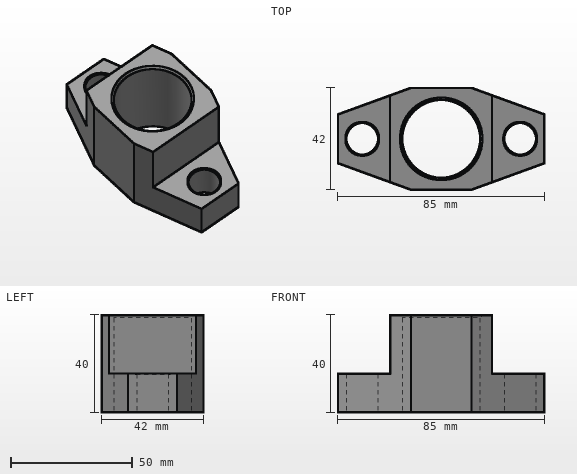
import cadquery as cq
import math

length = 85.0
width = 42.0
side_flat_length = 25.0
taper_angle = 20.0
flange_height = 16.0

block_length = 42.0
total_height = 40.0

bore_diameter = 32.0
bore_chamfer = 1.0

mount_hole_diameter = 13.0
mount_hole_spacing = 65.0
mount_hole_chamfer = 0.5


def tapered_body():
    """Full-height prism with the octagonal outline."""
    half_length = length / 2
    half_width = width / 2
    half_side_flat = side_flat_length / 2
    taper_run = half_length - half_side_flat
    half_end_flat = half_width - taper_run * math.tan(math.radians(taper_angle))
    outline = [
        (half_length, -half_end_flat),
        (half_length, half_end_flat),
        (half_side_flat, half_width),
        (-half_side_flat, half_width),
        (-half_length, half_end_flat),
        (-half_length, -half_end_flat),
        (-half_side_flat, -half_width),
        (half_side_flat, -half_width),
    ]
    return cq.Workplane("XY").polyline(outline).close().extrude(total_height)


def stepped_envelope():
    """Low slab for the flange joined with the tall central block."""
    slab = cq.Workplane("XY").box(length, width, flange_height, centered=(True, True, False))
    block = cq.Workplane("XY").box(block_length, width, total_height, centered=(True, True, False))
    return slab.union(block)


def chamfered_hole(x, diameter, top, chamfer):
    """Cutter for a vertical through hole with a 45 degree chamfer at its top edge."""
    radius = diameter / 2
    profile = [
        (0, 0),
        (radius, 0),
        (radius, top - chamfer),
        (radius + chamfer, top),
        (0, top),
    ]
    cutter = cq.Workplane("XZ").polyline(profile).close().revolve(360, (0, 0, 0), (0, 1, 0))
    return cutter.translate((x, 0, 0))


result = tapered_body().intersect(stepped_envelope())
result = result.cut(chamfered_hole(0, bore_diameter, total_height, bore_chamfer))
for side in (-1, 1):
    hole_x = side * mount_hole_spacing / 2
    result = result.cut(
        chamfered_hole(hole_x, mount_hole_diameter, flange_height, mount_hole_chamfer)
    )